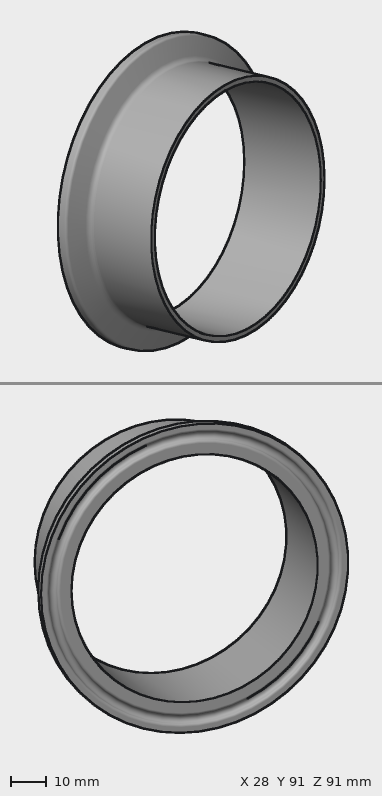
import cadquery as cq
import math

length = 28.0
flange_radius = 91 / 2
tube_radius = 76.3 / 2
bore_radius = 72.9 / 2

rim_width = 2.5
rim_round = 0.9
root_fillet = 1.9
cone_angle = math.radians(20)

groove_radius = 41.8
groove_half_width = 2.05
groove_bottom_round = 1.3
groove_lip_round = 0.9


def arc_point(center, radius, angle):
    """Point (x, distance from axis) on an arc; the angle is measured from +X."""
    return (center[0] + radius * math.cos(angle), center[1] + radius * math.sin(angle))


def make_body():
    """Revolve the ferrule section, without its gasket groove."""
    rim_center = (rim_width, flange_radius - rim_round)
    cone_start = arc_point(rim_center, rim_round, cone_angle)
    rim_middle = arc_point(rim_center, rim_round, (cone_angle + math.pi / 2) / 2)

    fillet_center_radius = tube_radius + root_fillet
    cone_end_radius = fillet_center_radius - root_fillet * math.sin(cone_angle)
    cone_end_x = cone_start[0] + (cone_start[1] - cone_end_radius) * math.tan(cone_angle)
    fillet_center = (cone_end_x + root_fillet * math.cos(cone_angle), fillet_center_radius)
    fillet_middle = arc_point(fillet_center, root_fillet, math.pi + (cone_angle + math.pi / 2) / 2)

    return (
        cq.Workplane("XY")
        .moveTo(0, bore_radius)
        .lineTo(0, flange_radius)
        .lineTo(rim_width, flange_radius)
        .threePointArc(rim_middle, cone_start)
        .lineTo(cone_end_x, cone_end_radius)
        .threePointArc(fillet_middle, (fillet_center[0], tube_radius))
        .lineTo(length, tube_radius)
        .lineTo(length, bore_radius)
        .close()
        .revolve(360, (0, 0, 0), (1, 0, 0))
    )


def make_groove():
    """Ring to cut from the sealing face."""
    centers_distance = groove_lip_round + groove_bottom_round
    wall_angle = math.asin(groove_half_width / centers_distance)
    depth = centers_distance * (1 - math.cos(wall_angle))
    bottom_center = (depth - groove_bottom_round, groove_radius)

    outer_lip = (groove_lip_round, groove_radius + groove_half_width)
    inner_lip = (groove_lip_round, groove_radius - groove_half_width)
    outer_joint = arc_point(bottom_center, groove_bottom_round, wall_angle)
    inner_joint = arc_point(bottom_center, groove_bottom_round, -wall_angle)
    outer_lip_middle = arc_point(outer_lip, groove_lip_round, math.pi + wall_angle / 2)
    inner_lip_middle = arc_point(inner_lip, groove_lip_round, math.pi - wall_angle / 2)

    return (
        cq.Workplane("XY")
        .moveTo(0, outer_lip[1])
        .threePointArc(outer_lip_middle, outer_joint)
        .threePointArc((depth, groove_radius), inner_joint)
        .threePointArc(inner_lip_middle, (0, inner_lip[1]))
        .close()
        .revolve(360, (0, 0, 0), (1, 0, 0))
    )


result = make_body().cut(make_groove())